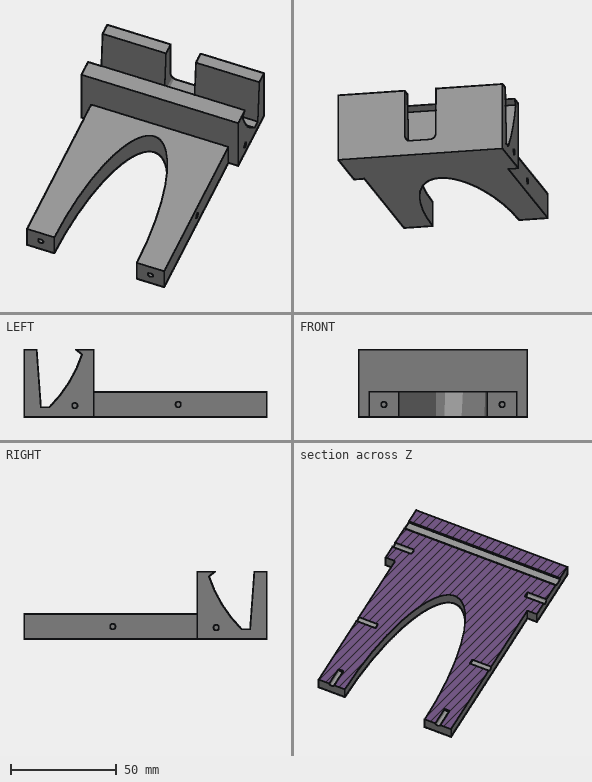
import cadquery as cq

TOTAL_LENGTH = 115.0
BLOCK_WIDTH = 80.0
BLOCK_DEPTH = 33.0
BLOCK_HEIGHT = 32.0
PLATE_WIDTH = 70.0
PLATE_THICKNESS = 12.0
PLATE_LENGTH = TOTAL_LENGTH - BLOCK_DEPTH

REAR_WALL_TOP = 6.0
REAR_WALL_FOOT = 8.0
TROUGH_FLOOR_Z = 4.8
FLOOR_FRONT = 12.0
CURVE_MID_OFFSET = 19.0
CURVE_MID_Z = 13.1
LIP_ROOT_OFFSET = 27.4
LIP_ROOT_Z = 29.7
LIP_TIP_OFFSET = 24.5

NOTCH_WIDTH = 15.2
NOTCH_FLOOR_Z = 7.0
NOTCH_CORNER_RADIUS = 3.0

OPENING_WIDTH = 42.0
OPENING_DEPTH = 75.0

HOLE_DIAMETER = 2.62
HOLE_DEPTH = 10.0
LEG_WIDTH = (PLATE_WIDTH - OPENING_WIDTH) / 2
LEG_HOLE_X = (OPENING_WIDTH + LEG_WIDTH) / 2
PLATE_HOLE_Z = PLATE_THICKNESS / 2
PLATE_SIDE_HOLE_Y = 42.0
BLOCK_HOLE_OFFSET = 24.0
BLOCK_HOLE_Z = 5.5


def from_rear(offset):
    """Y position of a point lying the given distance forward of the rear face."""
    return TOTAL_LENGTH - offset


def make_block():
    """Block with a curved trough under an overhanging lip, swept along X."""
    return (
        cq.Workplane("YZ")
        .moveTo(PLATE_LENGTH, 0)
        .lineTo(TOTAL_LENGTH, 0)
        .lineTo(TOTAL_LENGTH, BLOCK_HEIGHT)
        .lineTo(from_rear(REAR_WALL_TOP), BLOCK_HEIGHT)
        .lineTo(from_rear(REAR_WALL_FOOT), TROUGH_FLOOR_Z)
        .lineTo(from_rear(FLOOR_FRONT), TROUGH_FLOOR_Z)
        .threePointArc(
            (from_rear(CURVE_MID_OFFSET), CURVE_MID_Z),
            (from_rear(LIP_ROOT_OFFSET), LIP_ROOT_Z),
        )
        .lineTo(from_rear(LIP_TIP_OFFSET), BLOCK_HEIGHT)
        .lineTo(PLATE_LENGTH, BLOCK_HEIGHT)
        .close()
        .extrude(BLOCK_WIDTH / 2, both=True)
    )


def make_notch():
    """Cutter for the notch, rounded along its two lower corners."""
    return (
        cq.Workplane("XY", origin=(0, from_rear(REAR_WALL_FOOT / 2), NOTCH_FLOOR_Z))
        .box(NOTCH_WIDTH, REAR_WALL_FOOT, BLOCK_HEIGHT, centered=(True, True, False))
        .edges("|Y and <Z")
        .fillet(NOTCH_CORNER_RADIUS)
    )


def make_plate():
    """Forked plate: a flat bar opened from the front by a half ellipse."""
    plate = cq.Workplane("XY").box(
        PLATE_WIDTH, PLATE_LENGTH, PLATE_THICKNESS, centered=(True, False, False)
    )
    opening = (
        cq.Workplane("XY")
        .ellipse(OPENING_WIDTH / 2, OPENING_DEPTH)
        .extrude(PLATE_THICKNESS)
    )
    return plate.cut(opening)


def make_hole(start, direction):
    """Cutter for one blind hole drilled from a point on a face."""
    return cq.Workplane(
        cq.Solid.makeCylinder(
            HOLE_DIAMETER / 2, HOLE_DEPTH, cq.Vector(*start), cq.Vector(*direction)
        )
    )


result = make_block().cut(make_notch()).union(make_plate())

for side in (-1, 1):
    inward = (-side, 0, 0)
    leg_end = (side * LEG_HOLE_X, 0, PLATE_HOLE_Z)
    plate_side = (side * PLATE_WIDTH / 2, PLATE_SIDE_HOLE_Y, PLATE_HOLE_Z)
    block_end = (side * BLOCK_WIDTH / 2, from_rear(BLOCK_HOLE_OFFSET), BLOCK_HOLE_Z)
    result = result.cut(make_hole(leg_end, (0, 1, 0)))
    result = result.cut(make_hole(plate_side, inward))
    result = result.cut(make_hole(block_end, inward))